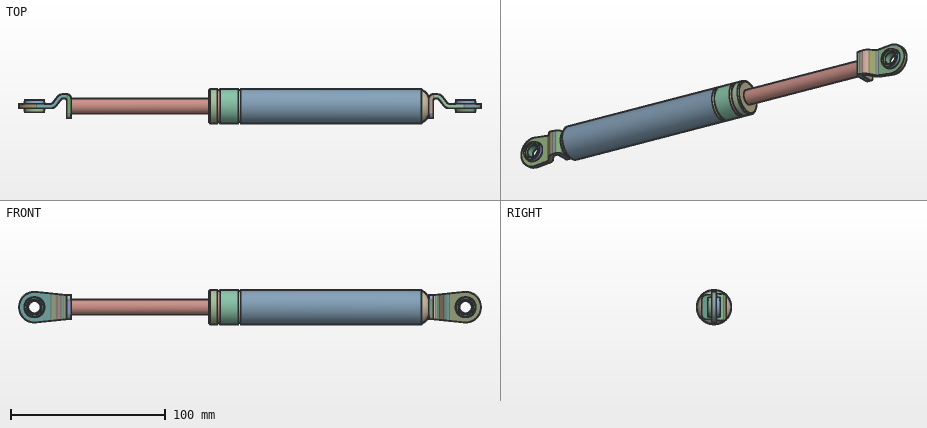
import cadquery as cq
import math


eye_spacing = 279.0
eye_radius = 10.0
eye_x = eye_spacing / 2

strap_thickness = 3.0
strap_reach = 23.8
foot_half_size = 7.9
foot_corner_radius = 3.0
offset_bend_start = 12.1
offset_bend_angle = 53.0
offset_bend_radius = 1.9
crest_inner_radius = 1.2
crest_outer_radius = 3.0

bushing_length = 8.0
bushing_diameter = 13.4
bushing_end_diameter = 12.4
bore_diameter = 7.8
bore_chamfer = 1.0

rod_diameter = 10.0
cylinder_diameter = 22.5
cylinder_start_x = -26.6
front_chamfer = 0.9
rear_lip_x = 110.8
rear_lip_chamfer = 0.8
dome_middle = (113.6, 9.1)
dome_end_radius = 5.6
groove_width = 1.8
groove_depth = 0.9
groove_centres_x = [-20.3, -6.8]

foot_x = eye_x - strap_reach


def round_corners(solid, corners, radius):
    """Fillet the Z edges of an extruded outline that pass through the given XY corners."""
    margin = 0.1
    for x, y in corners:
        near = cq.selectors.BoxSelector((x - margin, y - margin, -margin), (x + margin, y + margin, margin))
        solid = solid.edges("|Z").edges(near).fillet(radius)
    return solid


def strap_profile():
    """Side outline of the bent strap in XY, eye centre at the origin, extruded along Z."""
    half = strap_thickness / 2
    crest_y = foot_half_size - half
    foot_mid_x = strap_reach - half
    bend_end = offset_bend_start + crest_y / math.tan(math.radians(offset_bend_angle))
    mitre = half * math.tan(math.radians(offset_bend_angle / 2))
    offset_start_lower = (offset_bend_start + mitre, -half)
    offset_end_lower = (bend_end + mitre, crest_y - half)
    crest_inner_corner = (foot_mid_x - half, crest_y - half)
    crest_outer_corner = (strap_reach, foot_half_size)
    offset_end_upper = (bend_end - mitre, foot_half_size)
    offset_start_upper = (offset_bend_start - mitre, half)
    outline = [
        (-eye_radius, -half),
        offset_start_lower,
        offset_end_lower,
        crest_inner_corner,
        (foot_mid_x - half, -foot_half_size),
        (strap_reach, -foot_half_size),
        crest_outer_corner,
        offset_end_upper,
        offset_start_upper,
        (-eye_radius, half),
    ]
    strap = cq.Workplane("XY").polyline(outline).close().extrude(eye_radius, both=True)

    outer_radius = offset_bend_radius + strap_thickness
    strap = round_corners(strap, [offset_end_lower, offset_start_upper], offset_bend_radius)
    strap = round_corners(strap, [offset_start_lower, offset_end_upper], outer_radius)
    strap = round_corners(strap, [crest_inner_corner], crest_inner_radius)
    return round_corners(strap, [crest_outer_corner], crest_outer_radius)


def strap_plan():
    """Outline of the strap in XZ: round eye, with sides tapering along tangents down to the foot width."""
    foot_start = strap_reach - strap_thickness
    distance = math.hypot(foot_start, foot_half_size)
    tangent_angle = math.atan2(foot_half_size, foot_start) + math.acos(eye_radius / distance)
    tangent_x = eye_radius * math.cos(tangent_angle)
    tangent_z = eye_radius * math.sin(tangent_angle)
    return (
        cq.Workplane("XZ")
        .moveTo(tangent_x, tangent_z)
        .threePointArc((-eye_radius, 0), (tangent_x, -tangent_z))
        .lineTo(foot_start, -foot_half_size)
        .lineTo(strap_reach, -foot_half_size)
        .lineTo(strap_reach, foot_half_size)
        .lineTo(foot_start, foot_half_size)
        .close()
        .extrude(foot_half_size, both=True)
    )


def bushing():
    """Solid barrel-shaped bushing along Y."""
    half_length = bushing_length / 2
    end_radius = bushing_end_diameter / 2
    return (
        cq.Workplane("XY")
        .moveTo(0, -half_length)
        .lineTo(end_radius, -half_length)
        .threePointArc((bushing_diameter / 2, 0), (end_radius, half_length))
        .lineTo(0, half_length)
        .close()
        .revolve(360, (0, 0, 0), (0, 1, 0))
    )


def bore():
    """Cutter for the bushing bore, widened by a chamfer at both ends."""
    half_length = bushing_length / 2
    bore_radius = bore_diameter / 2
    mouth_radius = bore_radius + bore_chamfer
    bore_outline = [
        (0, -half_length),
        (mouth_radius, -half_length),
        (bore_radius, bore_chamfer - half_length),
        (bore_radius, half_length - bore_chamfer),
        (mouth_radius, half_length),
        (0, half_length),
    ]
    return cq.Workplane("XY").polyline(bore_outline).close().revolve(360, (0, 0, 0), (0, 1, 0))


def eyelet():
    """Strap and bored bushing with the eye centre at the origin and the foot plate towards +X."""
    strap = strap_profile().intersect(strap_plan())
    strap = strap.faces("<Y").edges("|X").fillet(foot_corner_radius)
    return strap.union(bushing()).cut(bore())


def cylinder_tube():
    """Closed tube with a chamfered front, a domed rear end and two rolled grooves."""
    radius = cylinder_diameter / 2
    profile = (
        cq.Workplane("XZ")
        .moveTo(cylinder_start_x, 0)
        .lineTo(cylinder_start_x, radius - front_chamfer)
        .lineTo(cylinder_start_x + front_chamfer, radius)
    )
    for groove_x in groove_centres_x:
        profile = profile.lineTo(groove_x - groove_width / 2, radius).threePointArc(
            (groove_x, radius - groove_depth), (groove_x + groove_width / 2, radius)
        )
    profile = (
        profile.lineTo(rear_lip_x, radius)
        .lineTo(rear_lip_x + rear_lip_chamfer, radius - rear_lip_chamfer)
        .threePointArc(dome_middle, (foot_x, dome_end_radius))
        .lineTo(foot_x, 0)
        .close()
    )
    return profile.revolve(360, (0, 0, 0), (1, 0, 0))


front_eyelet = eyelet().translate((-eye_x, 0, 0))
rod_shaft = (
    cq.Workplane("XZ")
    .moveTo(-foot_x, 0)
    .lineTo(-foot_x, rod_diameter / 2)
    .lineTo(cylinder_start_x, rod_diameter / 2)
    .lineTo(cylinder_start_x, 0)
    .close()
    .revolve(360, (0, 0, 0), (1, 0, 0))
)
rod = rod_shaft.union(front_eyelet)

rear_eyelet = eyelet().mirror("YZ").translate((eye_x, 0, 0))
cylinder = cylinder_tube().union(rear_eyelet)

result = cq.Compound.makeCompound([rod.val(), cylinder.val()])